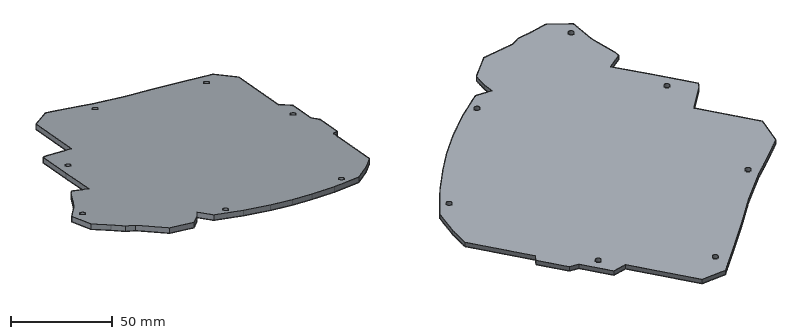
import cadquery as cq

WIDTH = 154.5
HEIGHT = 165.6
THICKNESS = 3.0
HOLE_DIAMETER = 3.0

TOP_LEFT_Y = 156.8
TOP_SHOULDER_Y = 162.6
LOWER_LEFT_Y = 41.4

TOP_EDGE = [
    (0, 147.5),
    (9.5, TOP_LEFT_Y),
    (48.5, TOP_LEFT_Y),
    (52.8, TOP_SHOULDER_Y),
    (70.7, TOP_SHOULDER_Y),
    (74.7, HEIGHT),
    (91.7, HEIGHT),
    (92.9, TOP_SHOULDER_Y),
    (128.8, TOP_SHOULDER_Y),
    (136.8, 156.2),
]

RIGHT_SIDE = [
    (146.0, 146.7),
    (150.5, 130.3),
    (152.8, 116.4),
    (154.2, 104.7),
    (WIDTH, 91.7),
    (153.7, 77.2),
    (151.4, 61.6),
]

LOWER_RIGHT_LOBE = [
    (144.4, 56.1),
    (149.0, 53.3),
    (WIDTH, 48.5),
    (WIDTH, 34.8),
    (143.4, 21.9),
    (141.8, 17.0),
    (137.1, 11.6),
    (131.2, 3.6),
    (118.2, 0),
    (107.5, 7.5),
    (103.3, 9.5),
    (92.9, 14.0),
    (90.9, 15.5),
    (92.7, 24.3),
]

BOTTOM_STEP = [
    (70.7, 24.0),
    (47.9, 24.0),
    (47.0, 26.2),
    (45.5, LOWER_LEFT_Y),
    (10.5, LOWER_LEFT_Y),
]

LEFT_SIDE = [
    (0.7, 52.3),
    (1.2, 61.3),
    (1.8, 70.5),
    (2.5, 78.2),
    (2.5, 96.7),
    (2.0, 103.7),
    (1.3, 113.1),
    (1.0, 121.5),
    (0.7, 129.2),
    (0.2, 144.9),
]

HOLE_CENTERS = [
    (7.5, 139.6),
    (62.3, 157.3),
    (143.5, 138.3),
    (148.2, 70.0),
    (117.7, 6.5),
    (62.5, 29.8),
    (8.3, 76.2),
]


def make_plate():
    outline = TOP_EDGE + RIGHT_SIDE + LOWER_RIGHT_LOBE + BOTTOM_STEP + LEFT_SIDE
    return cq.Workplane("XY").polyline(outline).close().extrude(THICKNESS)


def make_hole_cutters():
    return cq.Workplane("XY").pushPoints(HOLE_CENTERS).circle(HOLE_DIAMETER / 2).extrude(THICKNESS)


result = make_plate().cut(make_hole_cutters())